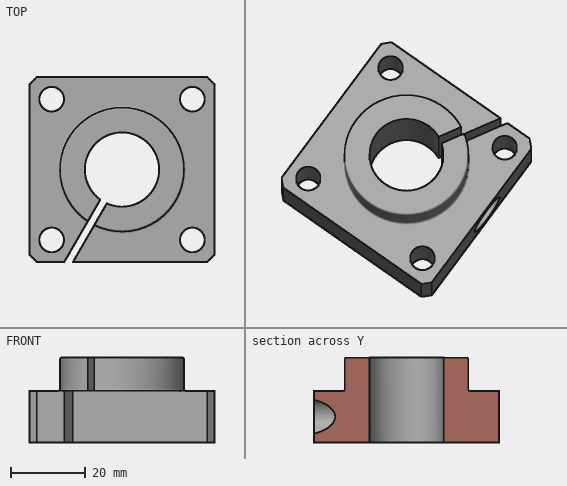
import cadquery as cq
import math

plate_side = 50
plate_height = 14
corner_chamfer = 2

total_height = 23
hub_diameter = 33.5
hub_edge_fillet = 0.5
hub_root_fillet = 0.5
bore_diameter = 20

mount_hole_diameter = 6.6
mount_hole_spacing = 38

slit_width = 2
slit_angle = 120

screw_entry_y = -2.5
screw_head_diameter = 10
screw_head_depth = 8.7
screw_hole_diameter = 5.6
screw_reach_past_slit = 12


def make_body():
    """Plate with chamfered corners and a bored hub blended into it."""
    plate = (
        cq.Workplane("XY")
        .rect(plate_side, plate_side)
        .extrude(plate_height)
        .edges("|Z")
        .chamfer(corner_chamfer)
    )
    hub = cq.Workplane("XY").circle(hub_diameter / 2).extrude(total_height)
    hub = hub.faces(">Z").edges().fillet(hub_edge_fillet)
    body = plate.union(hub)
    top_of_plate = body.faces("|Z").faces(">Z[-2]")
    body = top_of_plate.edges("%CIRCLE").fillet(hub_root_fillet)
    return body.faces("<Z").workplane().circle(bore_diameter / 2).cutThruAll()


def make_mount_holes():
    return (
        cq.Workplane("XY")
        .rect(mount_hole_spacing, mount_hole_spacing, forConstruction=True)
        .vertices()
        .circle(mount_hole_diameter / 2)
        .extrude(plate_height)
    )


def make_slit():
    """Slot running from the bore centre out through the -Y side."""
    return (
        cq.Workplane("XY")
        .rect(plate_side, slit_width)
        .extrude(total_height)
        .translate((plate_side / 2, 0, 0))
        .rotate((0, 0, 0), (0, 0, 1), -slit_angle)
    )


def make_screw_hole():
    """Counterbored blind hole entering the -X side and crossing the slit."""
    axis_angle = math.radians(90 - slit_angle)
    axis = cq.Vector(math.cos(axis_angle), math.sin(axis_angle), 0)
    entry = cq.Vector(-plate_side / 2, screw_entry_y, plate_height / 2)
    entry_to_slit = -entry.dot(axis)
    hole_depth = entry_to_slit + screw_reach_past_slit

    lead_in = screw_head_diameter
    head = cq.Solid.makeCylinder(
        screw_head_diameter / 2, lead_in + screw_head_depth, entry - axis * lead_in, axis
    )
    shank = cq.Solid.makeCylinder(screw_hole_diameter / 2, hole_depth, entry, axis)
    return cq.Workplane(head).union(cq.Workplane(shank))


result = make_body().cut(make_mount_holes()).cut(make_slit()).cut(make_screw_hole())